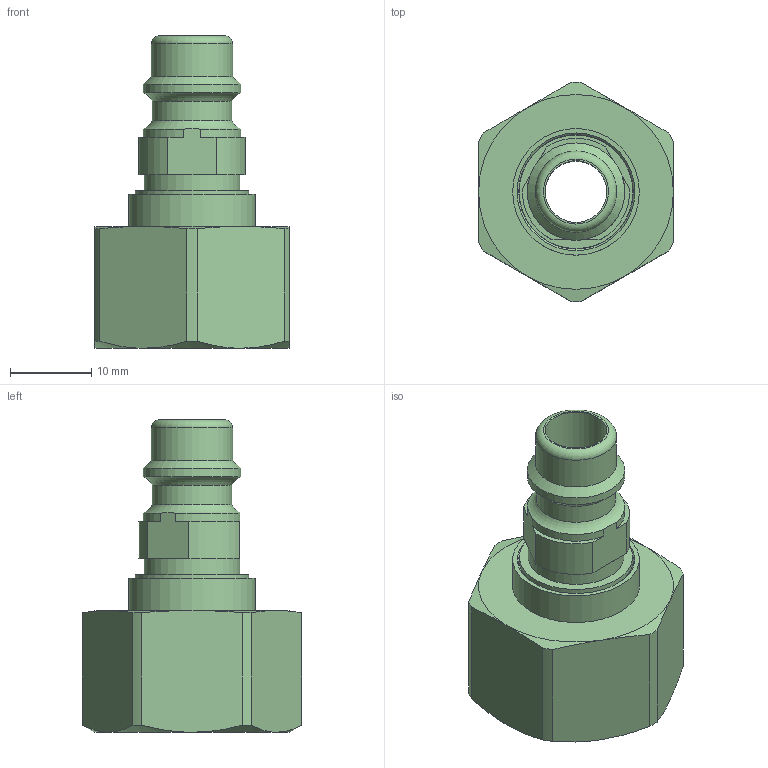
import cadquery as cq
import math

NUT_ACROSS_FLATS = 24.0
NUT_CORNER_DIAMETER = 27.0
NUT_HEIGHT = 15.0
NUT_TOP_CHAMFER_ANGLE = 10.0
NUT_BOTTOM_CHAMFER_ANGLE = 30.0

COLLAR_DIAMETER = 15.6
COLLAR_BORE_DIAMETER = 14.1
COLLAR_HEIGHT = 4.0
COLLAR_BORE_CHAMFER = 0.2
CLEARANCE_DEPTH = 0.5

STEP_DIAMETER = 14.0
STEP_HEIGHT = 0.4
NECK_DIAMETER = 11.8
NECK_HEIGHT = 2.0
FLANGE_DIAMETER = 13.2
FLANGE_HEIGHT = 4.6
FLAT_COUNT = 3
FLAT_DISTANCE = NECK_DIAMETER / 2
FIRST_FLAT_ANGLE = -90.0
RIB_DIAMETER = 12.0
LOWER_LAND_HEIGHT = 1.0
UPPER_LAND_HEIGHT = 1.0
GROOVE_DIAMETER = 9.75
GROOVE_LENGTH = 2.4
GROOVE_FLANK_HEIGHT = 1.05
GROOVE_FLANK_RADIUS = 2.5
TIP_DIAMETER = 10.0
TIP_CONE_HEIGHT = 0.95
TIP_ROUND = 1.0
BORE_DIAMETER = 7.6
TOTAL_HEIGHT = 38.5

COLLAR_TOP = NUT_HEIGHT + COLLAR_HEIGHT
STEP_TOP = COLLAR_TOP + STEP_HEIGHT
FLANGE_BOTTOM = STEP_TOP + NECK_HEIGHT
FLANGE_TOP = FLANGE_BOTTOM + FLANGE_HEIGHT
LOWER_LAND_TOP = FLANGE_TOP + LOWER_LAND_HEIGHT
GROOVE_BOTTOM = LOWER_LAND_TOP + GROOVE_FLANK_HEIGHT
GROOVE_TOP = GROOVE_BOTTOM + GROOVE_LENGTH
UPPER_LAND_BOTTOM = GROOVE_TOP + GROOVE_FLANK_HEIGHT
UPPER_LAND_TOP = UPPER_LAND_BOTTOM + UPPER_LAND_HEIGHT
TIP_BOTTOM = UPPER_LAND_TOP + TIP_CONE_HEIGHT


def cylinder(diameter, bottom, top):
    """Solid cylinder on the Z axis between two levels."""
    return cq.Workplane("XY").workplane(offset=bottom).circle(diameter / 2).extrude(top - bottom)


def make_nut():
    """Hexagon with corners on +Y and -Y, trimmed by a chamfered round envelope."""
    across_corners = NUT_ACROSS_FLATS / math.cos(math.pi / 6)
    hexagon = (
        cq.Workplane("XY")
        .transformed(rotate=(0, 0, 90))
        .polygon(6, across_corners)
        .extrude(NUT_HEIGHT)
    )
    end_radius = NUT_ACROSS_FLATS / 2
    corner_radius = NUT_CORNER_DIAMETER / 2
    chamfer_width = corner_radius - end_radius
    top_drop = chamfer_width * math.tan(math.radians(NUT_TOP_CHAMFER_ANGLE))
    bottom_rise = chamfer_width * math.tan(math.radians(NUT_BOTTOM_CHAMFER_ANGLE))
    envelope = (
        cq.Workplane("XZ")
        .moveTo(0, 0)
        .lineTo(end_radius, 0)
        .lineTo(corner_radius, bottom_rise)
        .lineTo(corner_radius, NUT_HEIGHT - top_drop)
        .lineTo(end_radius, NUT_HEIGHT)
        .lineTo(0, NUT_HEIGHT)
        .close()
        .revolve(360, (0, 0, 0), (0, 1, 0))
    )
    return hexagon.intersect(envelope)


def make_collar():
    """Cylindrical collar with the clearance recess in its top face."""
    collar = cylinder(COLLAR_DIAMETER, NUT_HEIGHT, COLLAR_TOP)
    collar = collar.cut(cylinder(COLLAR_BORE_DIAMETER, COLLAR_TOP - CLEARANCE_DEPTH, COLLAR_TOP))
    bore_edge = cq.selectors.RadiusNthSelector(0)
    return collar.faces(">Z").edges(bore_edge).chamfer(COLLAR_BORE_CHAMFER)


def make_flange():
    """Keyed round flange above the neck."""
    return cylinder(FLANGE_DIAMETER, FLANGE_BOTTOM, FLANGE_TOP)


def make_shank():
    """Turned shank above the flange: land, hollow-flanked groove, rib and rounded tip."""
    rib_radius = RIB_DIAMETER / 2
    groove_radius = GROOVE_DIAMETER / 2
    tip_radius = TIP_DIAMETER / 2
    round_middle = TIP_ROUND * math.sqrt(0.5)
    return (
        cq.Workplane("XZ")
        .moveTo(0, FLANGE_TOP)
        .lineTo(rib_radius, FLANGE_TOP)
        .lineTo(rib_radius, LOWER_LAND_TOP)
        .radiusArc((groove_radius, GROOVE_BOTTOM), GROOVE_FLANK_RADIUS)
        .lineTo(groove_radius, GROOVE_TOP)
        .radiusArc((rib_radius, UPPER_LAND_BOTTOM), GROOVE_FLANK_RADIUS)
        .lineTo(rib_radius, UPPER_LAND_TOP)
        .lineTo(tip_radius, TIP_BOTTOM)
        .lineTo(tip_radius, TOTAL_HEIGHT - TIP_ROUND)
        .threePointArc(
            (tip_radius - TIP_ROUND + round_middle, TOTAL_HEIGHT - TIP_ROUND + round_middle),
            (tip_radius - TIP_ROUND, TOTAL_HEIGHT),
        )
        .lineTo(0, TOTAL_HEIGHT)
        .close()
        .revolve(360, (0, 0, 0), (0, 1, 0))
    )


def make_flat_cutter(angle):
    """Block that removes everything beyond one flat of the flange, land and groove flank."""
    height = GROOVE_BOTTOM - FLANGE_BOTTOM
    return (
        cq.Workplane("XY")
        .box(FLANGE_DIAMETER, FLANGE_DIAMETER, height, centered=(False, True, False))
        .translate((FLAT_DISTANCE, 0, FLANGE_BOTTOM))
        .rotate((0, 0, 0), (0, 0, 1), angle)
    )


def make_keyed_section():
    """Flange and shank with the evenly spaced flats cut along their joint."""
    keyed = make_flange().union(make_shank())
    for index in range(FLAT_COUNT):
        keyed = keyed.cut(make_flat_cutter(FIRST_FLAT_ANGLE + index * 360 / FLAT_COUNT))
    return keyed


step = cylinder(STEP_DIAMETER, COLLAR_TOP - CLEARANCE_DEPTH, STEP_TOP)
neck = cylinder(NECK_DIAMETER, STEP_TOP, FLANGE_BOTTOM)

result = make_nut()
for section in (make_collar(), step, neck, make_keyed_section()):
    result = result.union(section)
result = result.cut(cylinder(BORE_DIAMETER, 0, TOTAL_HEIGHT))